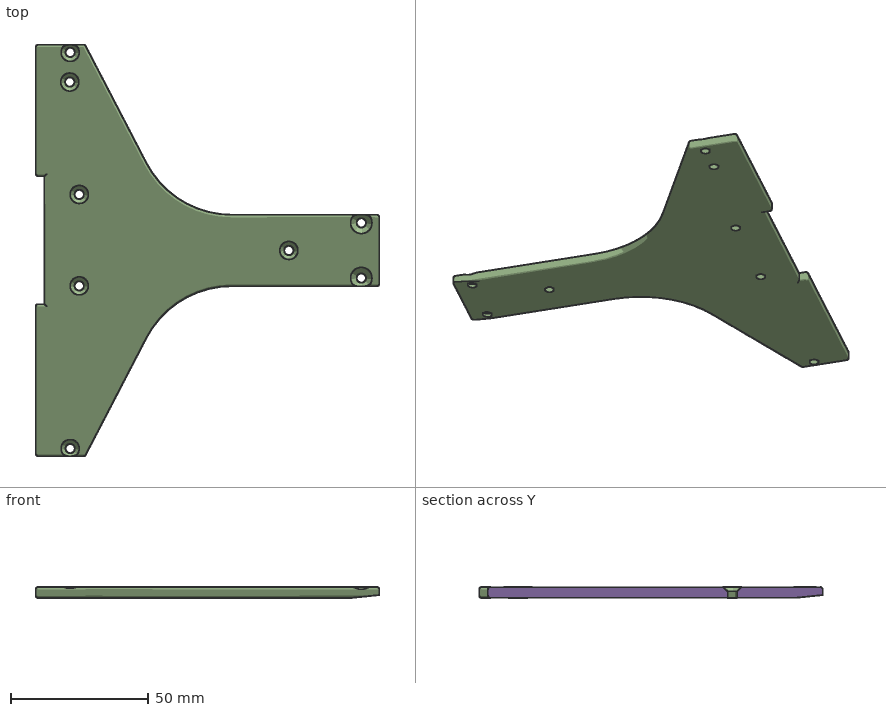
import cadquery as cq
import math

length = 125.2
width = 150.0
thickness = 4.0
half_width = width / 2
edge_radius = 1.0

tip_length = 18.0
arm_half_width = 13.0
blend_radius = 35.0
blend_end_x = 71.4

notch_depth = 3.2
notch_top = 27.0
notch_bottom = -19.5

ramp_length = 10.2
ramp_rise = 1.0

hole_diameter = 3.3
head_diameter = 6.6
arm_head_diameter = 7.8
countersink_angle = 90.0
tip_hole_x = 12.6
tip_hole_y = 72.2
extra_hole = (12.5, 61.4)
back_hole_x = 15.9
back_hole_spacing = 33.3
arm_hole = (92.2, 0)
end_hole_x = 118.6
end_hole_y = 10.0


def blend_points():
    """Start and middle of the arc tangent to the arm and to the sloping flank."""
    center_y = arm_half_width + blend_radius
    to_tip_x = tip_length - blend_end_x
    to_tip_y = half_width - center_y
    tip_distance = math.hypot(to_tip_x, to_tip_y)
    tip_direction = math.atan2(to_tip_y, to_tip_x) % math.tau
    start_angle = tip_direction + math.acos(blend_radius / tip_distance)
    end_angle = 1.5 * math.pi
    middle_angle = (start_angle + end_angle) / 2
    return [
        (blend_end_x + blend_radius * math.cos(angle), center_y + blend_radius * math.sin(angle))
        for angle in (start_angle, middle_angle)
    ]


def make_plate():
    (start_x, start_y), (middle_x, middle_y) = blend_points()
    plate = (
        cq.Workplane("XY")
        .moveTo(0, half_width)
        .lineTo(tip_length, half_width)
        .lineTo(start_x, start_y)
        .threePointArc((middle_x, middle_y), (blend_end_x, arm_half_width))
        .lineTo(length, arm_half_width)
        .lineTo(length, -arm_half_width)
        .lineTo(blend_end_x, -arm_half_width)
        .threePointArc((middle_x, -middle_y), (start_x, -start_y))
        .lineTo(tip_length, -half_width)
        .lineTo(0, -half_width)
        .lineTo(0, notch_bottom)
        .lineTo(notch_depth, notch_bottom)
        .lineTo(notch_depth, notch_top)
        .lineTo(0, notch_top)
        .close()
        .extrude(thickness)
    )
    plate = plate.edges("|Z and (<X or >X or <Y or >Y)").fillet(edge_radius)
    return plate.faces("<Z or >Z").edges().fillet(edge_radius)


def cut_ramp(plate):
    ramp = (
        cq.Workplane("XZ")
        .polyline([(length - ramp_length, 0), (length, 0), (length, ramp_rise)])
        .close()
        .extrude(arm_half_width, both=True)
    )
    return plate.cut(ramp)


def cut_holes(plate, centers, head):
    """Cut through holes with conical heads opening at the top face."""
    half_angle = math.radians(countersink_angle / 2)
    cone_depth = (head - hole_diameter) / 2 / math.tan(half_angle)
    for x, y in centers:
        bottom = cq.Vector(x, y, 0)
        cone_base = cq.Vector(x, y, thickness - cone_depth)
        up = cq.Vector(0, 0, 1)
        shaft = cq.Solid.makeCylinder(hole_diameter / 2, thickness, bottom, up)
        cone = cq.Solid.makeCone(hole_diameter / 2, head / 2, cone_depth, cone_base, up)
        plate = plate.cut(cq.Workplane(shaft)).cut(cq.Workplane(cone))
    return plate


notch_middle = (notch_top + notch_bottom) / 2
head_holes = [(tip_hole_x, side * tip_hole_y) for side in (1, -1)]
head_holes += [(back_hole_x, notch_middle + side * back_hole_spacing / 2) for side in (1, -1)]
head_holes += [extra_hole, arm_hole]
end_holes = [(end_hole_x, side * end_hole_y) for side in (1, -1)]

result = cut_ramp(make_plate())
result = cut_holes(result, head_holes, head_diameter)
result = cut_holes(result, end_holes, arm_head_diameter)